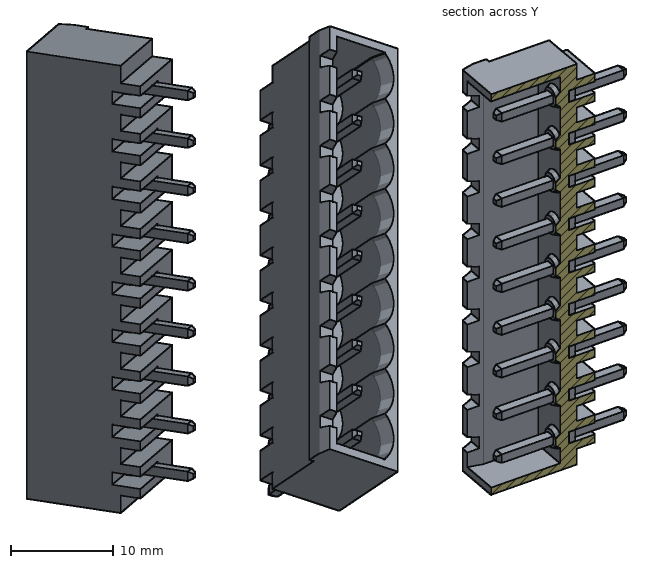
import cadquery as cq
import math


pole_count = 9
pitch = 5.0
pole_y = 3.9
pole_heights = [(i - (pole_count - 1) / 2) * pitch for i in range(pole_count)]

end_margin = 1.0
housing_length = pole_count * pitch + 2 * end_margin
housing_depth = 10.0
housing_width = 8.0
rib_top_y = 8.5
rib_mouth_y = 8.15
rib_slope_end = 1.4
rib_end = 3.0

end_wall = 0.9
pocket_depth = 8.0
taper_depth = 1.6
pocket_half_length = housing_length / 2 - end_wall
mouth_wall_y = 7.3
deep_wall_y = 6.88
scallop_radius = 3.55
scallop_crest_y = 0.5
scallop_shift = 0.5

notch_depth = 1.2
notch_mouth_width = 1.8
notch_floor_width = 1.3

collar_base_radius = 1.25
collar_top_radius = 1.0
collar_height = 0.5

standoff_height = 2.1
standoff_width = 3.3
board_face = housing_depth + standoff_height
groove_start = 9.1
groove_step = 9.8
groove_shallow_depth = 3.0
groove_width = 1.3

pin_size = 1.0
pin_start = 1.0
pin_end = 16.2
pin_point_length = 0.5
pin_point_size = 0.5


def box(x_range, y_range, z_range):
    """Box spanning the given (low, high) ranges."""
    size = [high - low for low, high in (x_range, y_range, z_range)]
    corner = (x_range[0], y_range[0], z_range[0])
    return cq.Workplane("XY").box(*size, centered=False).translate(corner)


def around(center, width):
    """Range of the given width about a center."""
    return (center - width / 2, center + width / 2)


def make_shell():
    """Solid housing with the bevelled rib along its mouth."""
    outline = [
        (0, 0),
        (housing_depth, 0),
        (housing_depth, housing_width),
        (rib_end, housing_width),
        (rib_end, rib_top_y),
        (rib_slope_end, rib_top_y),
        (0, rib_mouth_y),
    ]
    return cq.Workplane("XY").polyline(outline).close().extrude(housing_length / 2, both=True)


def draw_pocket(plane, wall_y, scallop_y_shift):
    """Add the pocket outline: straight on three sides, with one arc per pole on the fourth."""
    crest_y = scallop_crest_y + scallop_y_shift
    arc_center_y = crest_y + scallop_radius
    cusp_y = arc_center_y - math.sqrt(scallop_radius**2 - (pitch / 2) ** 2)
    outline = plane.moveTo(wall_y, pocket_half_length)
    outline = outline.lineTo(wall_y, -pocket_half_length).lineTo(cusp_y, -pocket_half_length)
    outline = outline.lineTo(cusp_y, pole_heights[0] - pitch / 2)
    for z in pole_heights:
        outline = outline.threePointArc((crest_y, z), (cusp_y, z + pitch / 2))
    return outline.lineTo(cusp_y, pocket_half_length).close()


def make_pocket():
    """Pocket volume: a tapered mouth, then straight down to the floor."""
    mouth = draw_pocket(cq.Workplane("YZ"), mouth_wall_y, 0)
    taper = draw_pocket(mouth.workplane(offset=taper_depth), deep_wall_y, scallop_shift).loft(ruled=True)
    straight_plane = cq.Workplane("YZ", origin=(taper_depth, 0, 0))
    straight = draw_pocket(straight_plane, deep_wall_y, scallop_shift).extrude(pocket_depth - taper_depth)
    return taper.union(straight)


def make_notch(z):
    """Latch notch through the ribbed wall, narrowing towards its floor."""
    outline = [
        (0, z - notch_mouth_width / 2),
        (notch_depth, z - notch_floor_width / 2),
        (notch_depth, z + notch_floor_width / 2),
        (0, z + notch_mouth_width / 2),
    ]
    start = cq.Workplane("XZ", origin=(0, deep_wall_y, 0))
    return start.polyline(outline).close().extrude(deep_wall_y - rib_top_y)


def make_standoff(z):
    """Foot that holds the housing off the board."""
    return box((housing_depth, board_face), (0, housing_width), around(z, standoff_width))


def make_groove(z):
    """Pin groove open at Y = 0: shallow at its inner end, then deep beside the pin."""
    span = around(z, groove_width)
    shallow = box((groove_start, groove_step), (0, groove_shallow_depth), span)
    deep = box((groove_step, board_face), (0, pole_y + pin_size / 2), span)
    return shallow.union(deep)


def make_collar(z):
    """Conical collar around a pin, standing on the pocket floor."""
    base = cq.Workplane("YZ", origin=(pocket_depth, pole_y, z)).circle(collar_base_radius)
    return base.workplane(offset=-collar_height).circle(collar_top_radius).loft()


def make_pin_point(x, z, length):
    """Pyramid frustum from the full pin section at x; the sign of length is its direction."""
    base = cq.Workplane("YZ", origin=(x, pole_y, z)).rect(pin_size, pin_size)
    return base.workplane(offset=length).rect(pin_point_size, pin_point_size).loft()


def make_pin(z):
    """Square pin pointed at both ends."""
    shaft_start = pin_start + pin_point_length
    shaft_end = pin_end - pin_point_length
    shaft = box((shaft_start, shaft_end), around(pole_y, pin_size), around(z, pin_size))
    mating_point = make_pin_point(shaft_start, z, -pin_point_length)
    board_point = make_pin_point(shaft_end, z, pin_point_length)
    return shaft.union(mating_point).union(board_point)


result = make_shell().cut(make_pocket())
for pole_z in pole_heights:
    result = result.cut(make_notch(pole_z))
    result = result.union(make_standoff(pole_z))
    result = result.cut(make_groove(pole_z))
    result = result.union(make_collar(pole_z))
    result = result.union(make_pin(pole_z))